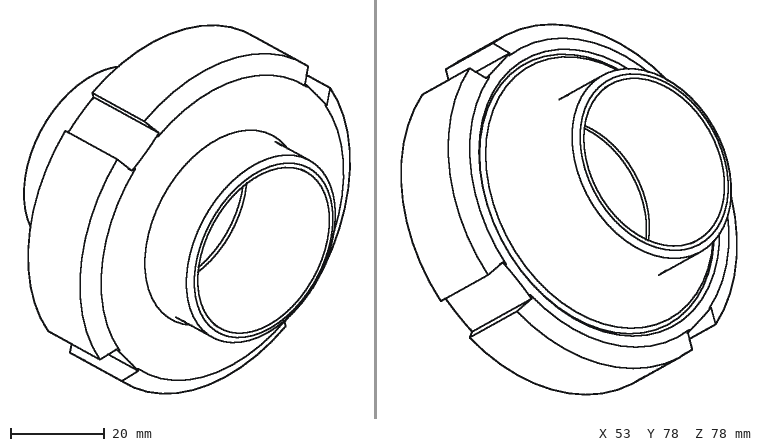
import math

import cadquery as cq

total_length = 53.0
bore_radius = 38.0 / 2
tube_radius = 43.0 / 2

joint_groove_radius = 42.0 / 2
joint_groove_width = 1.0
joint_groove_start = (total_length - joint_groove_width) / 2

end_face_radius = 40.0 / 2
end_bevel_length = (tube_radius - end_face_radius) * math.tan(math.radians(30))

nut_radius = 78.0 / 2
nut_face_radius = 70.0 / 2
nut_start = 19.0
nut_width = 21.0
nut_end = nut_start + nut_width
nut_bevel_length = (nut_radius - nut_face_radius) * math.tan(math.radians(30))

cone_angle = math.radians(11.5)
left_fillet_start = 15.0
left_fillet_radius = 2.5
flange_rim_radius = 61.5 / 2

nut_mouth_radius = 65.0 / 2

right_fillet_radius = 2.0
right_fillet_end = 41.65

slot_count = 4
slot_width = 10.0
slot_floor_radius = nut_face_radius
slot_tilt = 39.0


def arc_point(center_x, center_r, radius, sweep):
    """Point on a tube fillet, at a signed sweep from its tangent point on the tube."""
    return center_x + radius * math.sin(sweep), center_r - radius * math.cos(sweep)


def make_body():
    """Revolve the half profile of tubes, flange, nut and bore about the X axis."""
    left_center_r = tube_radius + left_fillet_radius
    left_sweep = math.pi / 2 - cone_angle
    left_mid = arc_point(left_fillet_start, left_center_r, left_fillet_radius, left_sweep / 2)
    left_top = arc_point(left_fillet_start, left_center_r, left_fillet_radius, left_sweep)

    rim_x = left_top[0] + (flange_rim_radius - left_top[1]) * math.tan(cone_angle)
    groove_depth = (nut_mouth_radius - flange_rim_radius + nut_start - rim_x) / 2
    groove_bottom = (rim_x + groove_depth, flange_rim_radius + groove_depth)

    right_center_r = tube_radius + right_fillet_radius
    right_sweep = -math.asin((right_fillet_end - nut_end) / right_fillet_radius)
    right_top = arc_point(right_fillet_end, right_center_r, right_fillet_radius, right_sweep)
    right_mid = arc_point(right_fillet_end, right_center_r, right_fillet_radius, right_sweep / 2)

    profile = (
        cq.Workplane("XY")
        .moveTo(0, bore_radius)
        .lineTo(0, end_face_radius)
        .lineTo(end_bevel_length, tube_radius)
        .lineTo(left_fillet_start, tube_radius)
        .threePointArc(left_mid, left_top)
        .lineTo(rim_x, flange_rim_radius)
        .lineTo(*groove_bottom)
        .lineTo(nut_start, nut_mouth_radius)
        .lineTo(nut_start, nut_face_radius)
        .lineTo(nut_start + nut_bevel_length, nut_radius)
        .lineTo(nut_end - nut_bevel_length, nut_radius)
        .lineTo(nut_end, nut_face_radius)
        .lineTo(*right_top)
        .threePointArc(right_mid, (right_fillet_end, tube_radius))
        .lineTo(total_length - end_bevel_length, tube_radius)
        .lineTo(total_length, end_face_radius)
        .lineTo(total_length, bore_radius)
        .lineTo(joint_groove_start + joint_groove_width, bore_radius)
        .lineTo(joint_groove_start + joint_groove_width, joint_groove_radius)
        .lineTo(joint_groove_start, joint_groove_radius)
        .lineTo(joint_groove_start, bore_radius)
        .close()
    )
    return profile.revolve(360, (0, 0, 0), (1, 0, 0))


def make_slot(angle):
    """Flat-bottomed cutter across the nut, turned about X from the +Z direction."""
    cutter = cq.Workplane("XY").box(
        nut_width, slot_width, nut_radius, centered=(False, True, False)
    )
    cutter = cutter.translate((nut_start, 0, slot_floor_radius))
    return cutter.rotate((0, 0, 0), (1, 0, 0), angle)


result = make_body()
for index in range(slot_count):
    result = result.cut(make_slot(slot_tilt + index * 360 / slot_count))